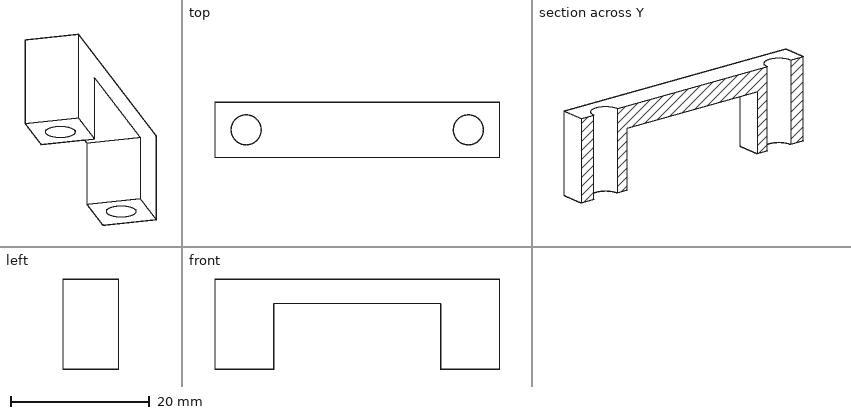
import cadquery as cq

length = 41.0
width = 8.0
height = 13.0

leg_length = 8.5
bridge_thickness = 3.5
opening_length = length - 2 * leg_length
opening_height = height - bridge_thickness

hole_diameter = 4.3
hole_spacing = 32.0


def make_block():
    """Full block, centred in X and Y and standing on Z = 0."""
    return cq.Workplane("XY").box(length, width, height, centered=(True, True, False))


def make_opening():
    """Rectangular opening below the bridge, across the full width."""
    return cq.Workplane("XY").box(opening_length, width, opening_height, centered=(True, True, False))


def make_holes():
    """Two round through holes on the X axis."""
    half_spacing = hole_spacing / 2
    return (
        cq.Workplane("XY")
        .pushPoints([(-half_spacing, 0), (half_spacing, 0)])
        .circle(hole_diameter / 2)
        .extrude(height)
    )


result = make_block().cut(make_opening()).cut(make_holes())